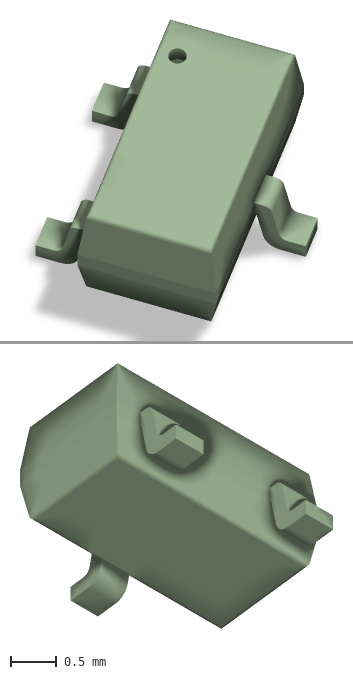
import cadquery as cq
import math

HOUSING_WIDTH = 1.598
HOUSING_LENGTH = 2.96
HOUSING_TOP = 1.4
HOUSING_BOTTOM = 0.05
TAPER_INSET = 0.08
EDGE_RADIUS = 0.045

MARK_DIAMETER = 0.2
MARK_DEPTH = 0.2
MARK_X = -0.48

LEAD_SPAN = 2.8
LEAD_THICKNESS = 0.2
LEAD_WIDTH = 0.4
LEAD_TOP = 0.745
LEAD_ANGLE = 12.0
LEAD_SHOULDER = 0.03
LEAD_PITCH_Y = 0.95
INNER_BEND_RADIUS = 0.1
HEEL_RADIUS = 0.2

BELT_TOP = LEAD_TOP
BELT_BOTTOM = LEAD_TOP - LEAD_THICKNESS


def tapered_half(belt_z, end_z):
    """Half of the housing, narrowing from the belt to its end face."""
    return (
        cq.Workplane("XY")
        .workplane(offset=belt_z)
        .rect(HOUSING_WIDTH, HOUSING_LENGTH)
        .workplane(offset=end_z - belt_z)
        .rect(HOUSING_WIDTH - 2 * TAPER_INSET, HOUSING_LENGTH - 2 * TAPER_INSET)
        .loft(ruled=True)
    )


def make_housing():
    belt = (
        cq.Workplane("XY")
        .workplane(offset=BELT_BOTTOM)
        .rect(HOUSING_WIDTH, HOUSING_LENGTH)
        .extrude(BELT_TOP - BELT_BOTTOM)
    )
    upper = tapered_half(BELT_TOP, HOUSING_TOP).faces(">Z").edges().fillet(EDGE_RADIUS)
    lower = tapered_half(BELT_BOTTOM, HOUSING_BOTTOM).faces("<Z").edges().fillet(EDGE_RADIUS)
    mark = (
        cq.Workplane("XY")
        .workplane(offset=HOUSING_TOP - MARK_DEPTH)
        .center(MARK_X, LEAD_PITCH_Y)
        .circle(MARK_DIAMETER / 2)
        .extrude(MARK_DEPTH)
    )
    return belt.union(upper).union(lower).cut(mark)


def make_lead(y_centre, turn):
    """Lead on the +X side, turned about Z and moved to its place along Y."""
    slope = math.tan(math.radians(LEAD_ANGLE))
    leg_width_x = LEAD_THICKNESS / math.cos(math.radians(LEAD_ANGLE))
    root_x = HOUSING_WIDTH / 2
    tip_x = LEAD_SPAN / 2
    armpit_x = root_x + LEAD_SHOULDER

    def leg_x(z):
        """X of the leg's inner face at height z."""
        return armpit_x + (BELT_BOTTOM - z) * slope

    shoulder_x = leg_x(LEAD_TOP) + leg_width_x
    heel_x = leg_x(0)
    instep_x = leg_x(LEAD_THICKNESS) + leg_width_x
    strip = (
        cq.Workplane("XZ")
        .polyline([
            (root_x, LEAD_TOP),
            (shoulder_x, LEAD_TOP),
            (instep_x, LEAD_THICKNESS),
            (tip_x, LEAD_THICKNESS),
            (tip_x, 0),
            (heel_x, 0),
            (armpit_x, BELT_BOTTOM),
            (root_x, BELT_BOTTOM),
        ])
        .close()
        .extrude(LEAD_WIDTH / 2, both=True)
    )

    def bend(body, x, z, radius):
        """Round the edge along Y that passes through (x, z)."""
        edge = cq.selectors.NearestToPointSelector((x, 0, z))
        return body.edges("|Y").edges(edge).fillet(radius)

    strip = bend(strip, shoulder_x, LEAD_TOP, INNER_BEND_RADIUS)
    strip = bend(strip, instep_x, LEAD_THICKNESS, INNER_BEND_RADIUS)
    strip = bend(strip, heel_x, 0, HEEL_RADIUS)
    return strip.rotate((0, 0, 0), (0, 0, 1), turn).translate((0, y_centre, 0))


LEAD_PLACES = [(-LEAD_PITCH_Y, 180), (LEAD_PITCH_Y, 180), (0, 0)]

housing = make_housing()
leads = [make_lead(y_centre, turn) for y_centre, turn in LEAD_PLACES]

result = cq.Compound.makeCompound([housing.val(), *[lead.val() for lead in leads]])